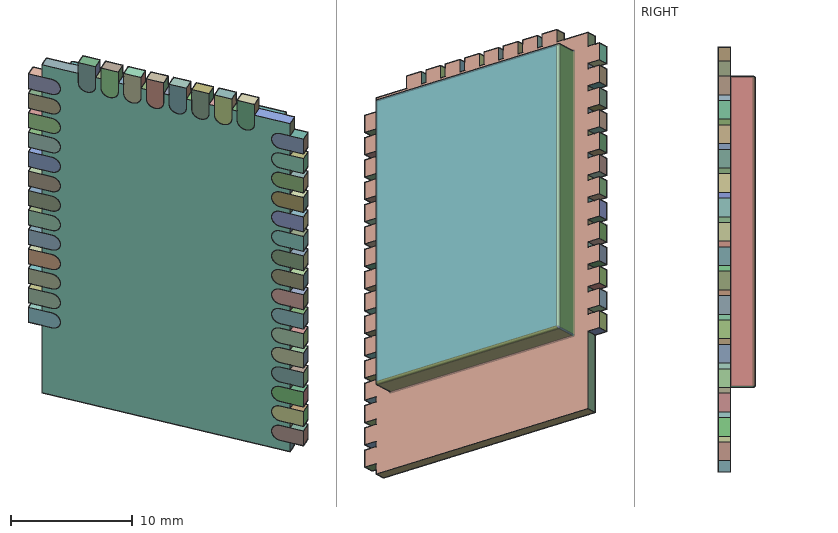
import cadquery as cq

TOTAL_WIDTH = 24.33
TOTAL_DEPTH = 3.08
TOTAL_HEIGHT = 34.95

BOARD_WIDTH = 21.95
BOARD_THICKNESS = 1.0
TOP_OVERHANG = 1.12
BOARD_HEIGHT = TOTAL_HEIGHT - TOP_OVERHANG

PAD_PROUD = 0.01
PAD_WIDTH = 1.55
PAD_THICKNESS = PAD_PROUD + BOARD_THICKNESS
PAD_LENGTH = 2.83
LEFT_PAD_COUNT = 13
RIGHT_PAD_COUNT = 16
TOP_PAD_COUNT = 8
RIGHT_ROW_SPAN = 30.1
PAD_PITCH = RIGHT_ROW_SPAN / (RIGHT_PAD_COUNT - 1)
FIRST_SIDE_PAD_DROP = 3.15
TOP_ROW_CENTER_X = 0.05

SHIELD_WIDTH = 19.05
SHIELD_HEIGHT = (LEFT_PAD_COUNT - 1) * PAD_PITCH + PAD_WIDTH
SHIELD_DEPTH = TOTAL_DEPTH - PAD_THICKNESS
SHIELD_CORNER_RADIUS = 0.1
SHIELD_RIM_RADIUS = 0.2
SHIELD_FOOT_RADIUS = 0.07
FOOT_MARGIN = 0.05

BOARD_BACK_Y = BOARD_THICKNESS
FIRST_SIDE_PAD_Z = TOTAL_HEIGHT - FIRST_SIDE_PAD_DROP
SHIELD_TOP_Z = FIRST_SIDE_PAD_Z + PAD_WIDTH / 2
SHIELD_BOTTOM_Z = SHIELD_TOP_Z - SHIELD_HEIGHT


def make_board():
    return cq.Workplane("XY").box(BOARD_WIDTH, BOARD_THICKNESS, BOARD_HEIGHT, centered=(True, False, False))


def make_pad(x, z, turn):
    """Pad with its square outer end centred at (x, z), reaching along +X turned `turn` degrees toward +Z."""
    half = PAD_WIDTH / 2
    straight = PAD_LENGTH - half
    return (
        cq.Workplane("XZ")
        .moveTo(0, -half)
        .lineTo(straight, -half)
        .threePointArc((PAD_LENGTH, 0), (straight, half))
        .lineTo(0, half)
        .close()
        .extrude(-PAD_THICKNESS)
        .rotate((0, 0, 0), (0, 1, 0), -turn)
        .translate((x, -PAD_PROUD, z))
    )


def add_shield(body):
    """Add the shield can with rounded outer edges and a small fillet at its foot."""
    shield = (
        cq.Workplane("XY")
        .box(SHIELD_WIDTH, SHIELD_DEPTH, SHIELD_HEIGHT, centered=(True, False, False))
        .edges("|Y")
        .fillet(SHIELD_CORNER_RADIUS)
        .faces(">Y")
        .edges()
        .fillet(SHIELD_RIM_RADIUS)
        .translate((0, BOARD_BACK_Y, SHIELD_BOTTOM_Z))
    )
    foot_edges = cq.selectors.BoxSelector(
        (-SHIELD_WIDTH / 2 - FOOT_MARGIN, BOARD_BACK_Y - FOOT_MARGIN, SHIELD_BOTTOM_Z - FOOT_MARGIN),
        (SHIELD_WIDTH / 2 + FOOT_MARGIN, BOARD_BACK_Y + FOOT_MARGIN, SHIELD_TOP_Z + FOOT_MARGIN),
    )
    return body.union(shield).edges(foot_edges).fillet(SHIELD_FOOT_RADIUS)


result = add_shield(make_board())

for index in range(LEFT_PAD_COUNT):
    pad_z = FIRST_SIDE_PAD_Z - index * PAD_PITCH
    result = result.union(make_pad(-TOTAL_WIDTH / 2, pad_z, 0))

for index in range(RIGHT_PAD_COUNT):
    pad_z = FIRST_SIDE_PAD_Z - index * PAD_PITCH
    result = result.union(make_pad(TOTAL_WIDTH / 2, pad_z, 180))

for index in range(TOP_PAD_COUNT):
    pad_x = TOP_ROW_CENTER_X + (index - (TOP_PAD_COUNT - 1) / 2) * PAD_PITCH
    result = result.union(make_pad(pad_x, TOTAL_HEIGHT, -90))